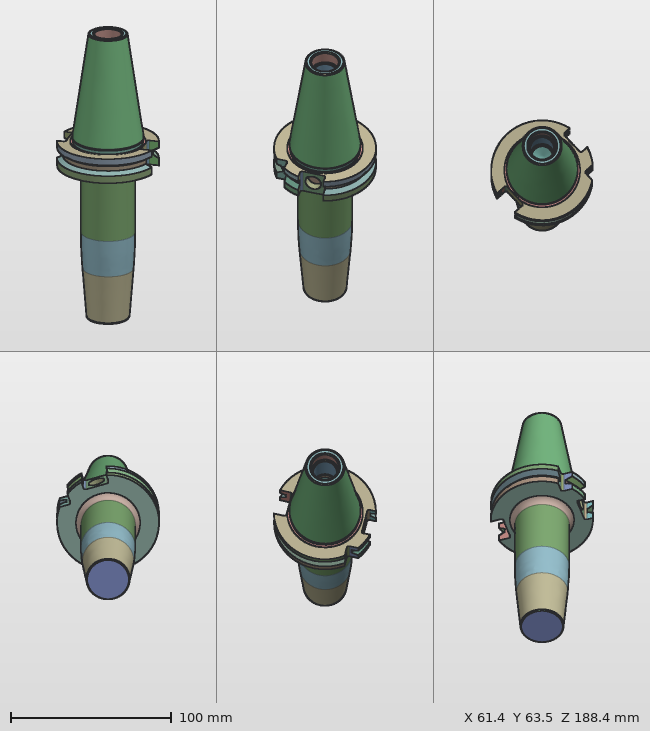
import cadquery as cq
import math

total_height = 188.4
gauge_z = 120.0
flange_top_z = 116.8
flange_height = 16.0
flange_bottom_z = flange_top_z - flange_height

gauge_radius = 22.2
taper_ratio = 7 / 24
shank_top_radius = gauge_radius - (total_height - gauge_z) * taper_ratio / 2
shank_chamfer_height = 0.5
shank_chamfer_width = 1.0
gauge_land = 0.5
neck_radius = 21.9
neck_top_z = 118.5

flange_radius = 63.5 / 2
groove_z = 109.0
groove_width = 7.2
groove_floor_radius = 56.3 / 2
groove_floor_width = groove_width - 2 * (flange_radius - groove_floor_radius) * math.tan(math.radians(30))
relief_radius = 23.5
relief_depth = 0.5

body_radius = 17.0
flare_radius = 20.0
flare_bottom_z = 96.0
blend_top_z = 56.7
blend_bottom_z = 32.8
nose_angle = math.radians(4.5)
blend_height = blend_top_z - blend_bottom_z
blend_bottom_radius = body_radius - blend_height * math.tan(nose_angle / 2)
nose_chamfer_height = 1.0
nose_chamfer_width = 0.5
nose_radius = blend_bottom_radius - (blend_bottom_z - nose_chamfer_height) * math.tan(nose_angle)

keyway_width = 16.2
keyway_floor_left = 25.2
keyway_floor_right = 23.0
corner_radius = 1.3
notch_offset = 18.7
recess_diameter = 10.2
recess_depth = 5.0

mouth_radius = 9.5
pilot_radius = 8.5
mouth_depth = 0.5
pilot_depth = 8.0
thread_radius = 7.3
drill_radius = 6.5
thread_chamfer = 0.8
thread_depth = 28.3
drill_depth = 32.0
drill_tip_depth = drill_depth + drill_radius * math.tan(math.radians(30))


def revolved_body():
    """Solid of revolution, drawn in the XZ plane from the nose up to the shank end."""
    outline = (
        cq.Workplane("XZ")
        .moveTo(0, 0)
        .lineTo(nose_radius - nose_chamfer_width, 0)
        .lineTo(nose_radius, nose_chamfer_height)
        .lineTo(blend_bottom_radius, blend_bottom_z)
        .tangentArcPoint((body_radius, blend_top_z), relative=False)
        .lineTo(body_radius, flare_bottom_z)
        .tangentArcPoint((flare_radius, flange_bottom_z), relative=False)
        .lineTo(flange_radius, flange_bottom_z)
        .lineTo(flange_radius, groove_z - groove_width / 2)
        .lineTo(groove_floor_radius, groove_z - groove_floor_width / 2)
        .lineTo(groove_floor_radius, groove_z + groove_floor_width / 2)
        .lineTo(flange_radius, groove_z + groove_width / 2)
        .lineTo(flange_radius, flange_top_z)
        .lineTo(relief_radius, flange_top_z)
        .lineTo(relief_radius, flange_top_z - relief_depth)
        .lineTo(neck_radius, flange_top_z - relief_depth)
        .lineTo(neck_radius, neck_top_z)
        .lineTo(gauge_radius, gauge_z - gauge_land)
        .lineTo(gauge_radius, gauge_z)
        .lineTo(shank_top_radius, total_height - shank_chamfer_height)
        .lineTo(shank_top_radius - shank_chamfer_width, total_height)
        .lineTo(0, total_height)
        .close()
    )
    return outline.revolve(360, (0, 0), (0, 1))


def pull_stud_bore():
    """Stepped blind bore with a countersunk mouth and a drill point."""
    profile = [
        (0, 0),
        (mouth_radius, 0),
        (pilot_radius, mouth_depth),
        (pilot_radius, pilot_depth),
        (thread_radius + thread_chamfer, pilot_depth),
        (thread_radius, pilot_depth + thread_chamfer),
        (thread_radius, thread_depth),
        (drill_radius, thread_depth),
        (drill_radius, drill_depth),
        (0, drill_tip_depth),
    ]
    points = [(radius, total_height - depth) for radius, depth in profile]
    return cq.Workplane("XZ").polyline(points).close().revolve(360, (0, 0), (0, 1))


def flange_cutter(x_min, x_max, y_min, y_max, rounded_edges):
    """Box through the flange thickness with its inner corners rounded."""
    box = cq.Workplane("XY").box(x_max - x_min, y_max - y_min, flange_height, centered=False)
    box = box.edges(rounded_edges).fillet(corner_radius)
    return box.translate((x_min, y_min, flange_bottom_z))


def side_recess():
    """Round flat-bottomed recess in the floor of the -X keyway."""
    return (
        cq.Workplane("YZ", origin=(-keyway_floor_left, 0, groove_z))
        .circle(recess_diameter / 2)
        .extrude(recess_depth)
    )


half_key = keyway_width / 2
keyway_left = flange_cutter(-flange_radius, -keyway_floor_left, -half_key, half_key, "|Z and >X")
keyway_right = flange_cutter(keyway_floor_right, flange_radius, -half_key, half_key, "|Z and <X")
notch = flange_cutter(-flange_radius, -notch_offset, notch_offset, flange_radius, "|Z and >X and <Y")

result = revolved_body()
for cutter in (pull_stud_bore(), keyway_left, keyway_right, notch, side_recess()):
    result = result.cut(cutter)